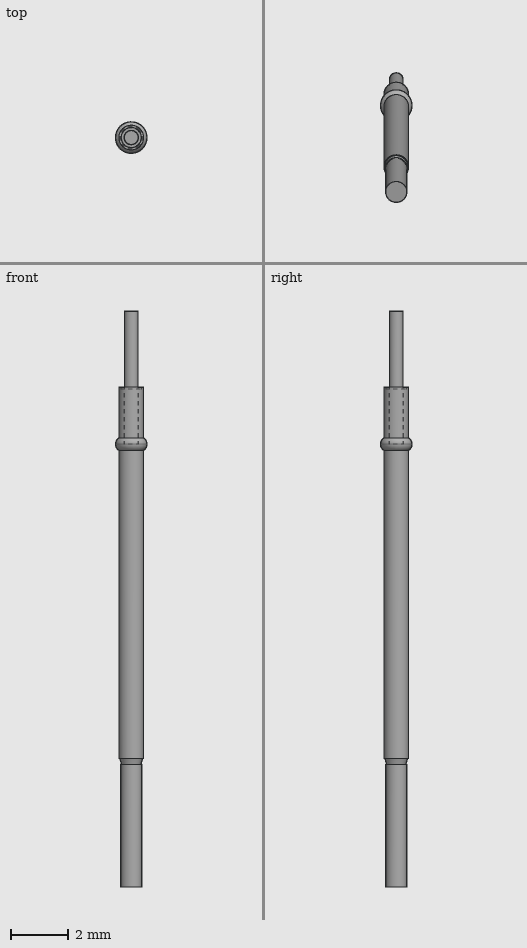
import cadquery as cq
import math

total_length = 20.15
barrel_top = 17.5
mouth_recess_depth = 0.06
collar_top = 15.72
collar_middle = 15.5
collar_bottom = 15.27
shoulder_bottom = 4.5
tail_top = 4.3

plunger_diameter = 0.48
mouth_diameter = 0.5
recess_diameter = 0.7
neck_diameter = 0.69
neck_top_diameter = 0.8
tail_diameter = 0.75
barrel_diameter = 0.87
collar_diameter = 1.1


def cylinder(diameter, bottom, top):
    """Solid cylinder on the Z axis between two heights."""
    return cq.Workplane("XY").workplane(offset=bottom).circle(diameter / 2).extrude(top - bottom)


def collar_bulge_point(end_height):
    """Point at half height on the collar arc that meets the barrel at end_height."""
    bulge = (collar_diameter - barrel_diameter) / 2
    half_height = end_height - collar_middle
    arc_radius = (half_height**2 + bulge**2) / (2 * bulge)
    drop = arc_radius - math.sqrt(arc_radius**2 - (half_height / 2) ** 2)
    return (collar_diameter / 2 - drop, collar_middle + half_height / 2)


def make_barrel():
    """Turned barrel with a rounded press-fit collar, a solid necked tail and a recessed plunger hole."""
    barrel_radius = barrel_diameter / 2
    collar_radius = collar_diameter / 2
    neck_radius = neck_diameter / 2
    tail_radius = tail_diameter / 2
    lower_bulge = collar_bulge_point(collar_bottom)
    upper_bulge = collar_bulge_point(collar_top)
    outer = (
        cq.Workplane("XZ")
        .moveTo(0, 0)
        .lineTo(tail_radius, 0)
        .lineTo(tail_radius, tail_top)
        .lineTo(neck_radius, tail_top)
        .lineTo(neck_top_diameter / 2, shoulder_bottom)
        .lineTo(barrel_radius, shoulder_bottom)
        .lineTo(barrel_radius, collar_bottom)
        .threePointArc(lower_bulge, (collar_radius, collar_middle))
        .threePointArc(upper_bulge, (barrel_radius, collar_top))
        .lineTo(barrel_radius, barrel_top)
        .lineTo(0, barrel_top)
        .close()
        .revolve(360, (0, 0, 0), (0, 1, 0))
    )
    mouth = cylinder(mouth_diameter, collar_middle, barrel_top)
    recess = cylinder(recess_diameter, barrel_top - mouth_recess_depth, barrel_top)
    return outer.cut(mouth).cut(recess)


def make_plunger():
    """Straight contact pin that stands on the floor of the barrel hole."""
    return cylinder(plunger_diameter, collar_middle, total_length)


barrel = make_barrel()
plunger = make_plunger()

result = cq.Compound.makeCompound([barrel.val(), plunger.val()])